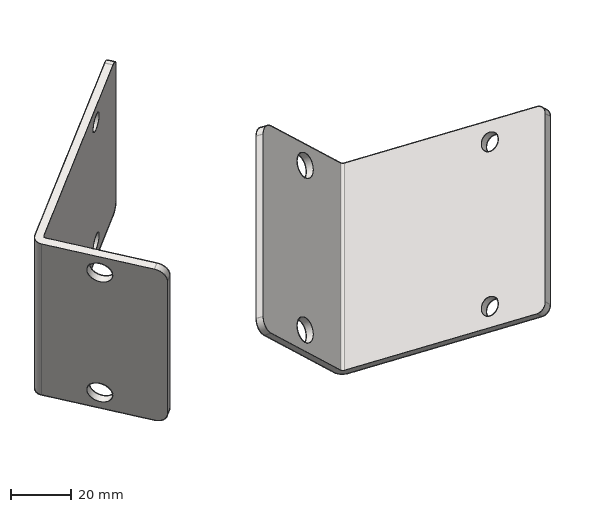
import cadquery as cq

short_length = 47.0
long_length = 87.0
height = 75.0
thickness = 3.0

outer_bend_radius = 3.2
inner_bend_radius = 1.0

short_corner_radius = 4.5
long_corner_radius = 3.5

hole_spacing = 59.5
short_hole_diameter = 9.0
long_hole_diameter = 7.0
short_hole_x = short_length / 2
long_hole_end_distance = 23.0
long_hole_y = long_length - long_hole_end_distance


def make_bent_sheet():
    """L-shaped profile with its outer corner at the origin, extruded upward."""
    sheet = (
        cq.Workplane("XY")
        .moveTo(0, 0)
        .lineTo(short_length, 0)
        .lineTo(short_length, thickness)
        .lineTo(thickness, thickness)
        .lineTo(thickness, long_length)
        .lineTo(0, long_length)
        .close()
        .extrude(height)
    )
    inner_edge = cq.selectors.NearestToPointSelector((thickness, thickness, height / 2))
    outer_edge = cq.selectors.NearestToPointSelector((0, 0, height / 2))
    sheet = sheet.edges(inner_edge).fillet(inner_bend_radius)
    return sheet.edges(outer_edge).fillet(outer_bend_radius)


def make_hole(center, direction, diameter):
    """Cutter that starts on an outer face and passes through the sheet."""
    return cq.Solid.makeCylinder(diameter / 2, thickness, cq.Vector(*center), cq.Vector(*direction))


result = make_bent_sheet()

result = result.faces(">X").edges("|Y").fillet(short_corner_radius)
result = result.faces(">Y").edges("|X").fillet(long_corner_radius)

for side in (-1, 1):
    hole_z = height / 2 + side * hole_spacing / 2
    result = result.cut(make_hole((short_hole_x, 0, hole_z), (0, 1, 0), short_hole_diameter))
    result = result.cut(make_hole((0, long_hole_y, hole_z), (1, 0, 0), long_hole_diameter))